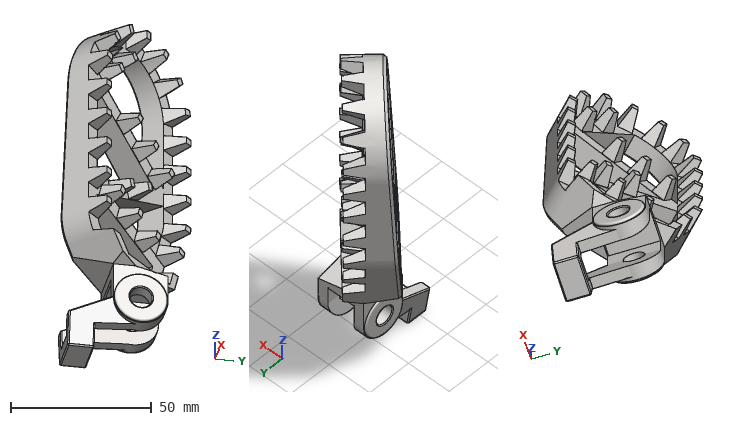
import cadquery as cq
import math


TREAD_TURN = -45.0
TREAD_CENTRE = 0.8
TREAD_TOP = 113.0
TREAD_RADIUS = 27.0
ARCH_HEIGHT = TREAD_TOP - TREAD_RADIUS
TREAD_FLOOR = 18.6
TREAD_BASE = 13.0
LEFT_CORNER = 44.0
LEFT_SLANT = 20.0
RIGHT_CORNER = 25.7
RIGHT_SLANT = 45.0
CORNER_RADIUS = 15.0

WALL = 5.85
TOOTH_ROOT = -1.25
BACK_AT_ARCH = -10.85
BACK_TILT = 3.0
OUTER_CHAMFER = 1.2
WINDOW_CHAMFER = 0.5

BAR_WIDTH = 6.0
BAR_INSET = 5.35
BAR_NODES_RIGHT = (85.8, 42.2)
BAR_NODE_LEFT = 57.4
TOP_BAR_END = (1.6, 106.4)
LOW_BAR_SLOPE = 20.0

TOOTH_HEIGHT = 7.9
TOOTH_TIP = TOOTH_ROOT + TOOTH_HEIGHT
TOOTH_LENGTH = 5.9
TOOTH_TIP_LENGTH = 2.4
TOOTH_TIP_WALL = 3.1
TOOTH_PITCH = 12.0
ARCH_TEETH = 7
RIGHT_SIDE_TEETH = 5
LEFT_SIDE_TEETH = 4
SLANT_TOOTH_HEIGHT = 32.0
BAR_TOOTH_WIDTH = 5.4
BAR_TOOTH_TIP_WIDTH = 3.0
RIDGE_TOP = 22.9
RIDGE_DROP = 1.4

BLOCK_HALF_WIDTH = 11.2
HINGE_RADIUS = 9.95
BOSS_RADIUS = 9.6
BOSS_HEIGHT = 0.9
BOSS_ROUNDING = 0.7
PIN_HOLE = 8.1
PIN_HOLE_CHAMFER = 0.4
CORNER_SLOPE = 20.0
FLARE_X = 21.4
FLARE_Y = 19.6
SLOT_HALF_WIDTH = 6.45
SLOT_TOP = 8.4
SLOT_BOTTOM = -14.4
SLOT_BOTTOM_HALF_WIDTH = 4.5
FORK_TAPER_START = 0.0
FORK_BOTTOM = -20.0
FORK_BOTTOM_HALF_WIDTH = 7.9
FOOT_FRONT = -25.8
FOOT_BACK = -16.2
FOOT_SHOULDER = -7.0
FOOT_HEEL = -10.8
FORK_ROOT = -9.7
EDGE_CHAMFER = 0.5

FAR = 200.0


def sin(angle):
    return math.sin(math.radians(angle))


def cos(angle):
    return math.cos(math.radians(angle))


def tan(angle):
    return math.tan(math.radians(angle))


BACK_NORMAL = cq.Vector(0, -cos(BACK_TILT), sin(BACK_TILT))


def outline(workplane, inset):
    """Closed tread outline moved inwards by inset."""
    half = TREAD_RADIUS - inset
    left = TREAD_CENTRE - half
    right = TREAD_CENTRE + half
    fillet = CORNER_RADIUS - inset
    base = TREAD_FLOOR - WALL + inset
    left_corner = LEFT_CORNER + inset * tan(LEFT_SLANT / 2)
    right_corner = RIGHT_CORNER + inset * tan(RIGHT_SLANT / 2)
    left_run = fillet * tan(LEFT_SLANT / 2)
    right_run = fillet * tan(RIGHT_SLANT / 2)
    return (
        workplane.moveTo(left, ARCH_HEIGHT)
        .threePointArc((TREAD_CENTRE, ARCH_HEIGHT + half), (right, ARCH_HEIGHT))
        .lineTo(right, right_corner + right_run)
        .tangentArcPoint(
            (right - right_run * sin(RIGHT_SLANT), right_corner - right_run * cos(RIGHT_SLANT)),
            relative=False,
        )
        .lineTo(right - (right_corner - base) * tan(RIGHT_SLANT), base)
        .lineTo(left + (left_corner - base) * tan(LEFT_SLANT), base)
        .lineTo(left + left_run * sin(LEFT_SLANT), left_corner - left_run * cos(LEFT_SLANT))
        .tangentArcPoint((left, left_corner + left_run), relative=False)
        .close()
    )


def level(y):
    return cq.Workplane("XZ", origin=(0, y, 0))


def back_face(z):
    return BACK_AT_ARCH - (ARCH_HEIGHT - z) * tan(BACK_TILT)


def tread_slab():
    """Solid tread, flat at the tooth roots and tilted at the back, with the back rim chamfered."""
    block = outline(level(TOOTH_ROOT), 0).extrude(FAR)
    low = TREAD_BASE - 1
    high = TREAD_TOP + 1
    side = (
        cq.Workplane("YZ")
        .polyline([(TOOTH_ROOT, low), (TOOTH_ROOT, high), (back_face(high), high), (back_face(low), low)])
        .close()
        .extrude(FAR, both=True)
    )
    slab = block.intersect(side)
    back = slab.faces(cq.selectors.DirectionMinMaxSelector(BACK_NORMAL, True))
    return back.edges("not <Z").chamfer(OUTER_CHAMFER)


def bars():
    """Start and end of each bar centre line, as (x, z)."""
    right = TREAD_CENTRE + TREAD_RADIUS - BAR_INSET
    left = TREAD_CENTRE - TREAD_RADIUS + BAR_INSET
    upper = (right, BAR_NODES_RIGHT[0])
    middle = (left, BAR_NODE_LEFT)
    lower = (right, BAR_NODES_RIGHT[1])
    low_run = right - left
    low_end = (left, lower[1] - low_run * tan(LOW_BAR_SLOPE))
    return [(upper, TOP_BAR_END), (middle, upper), (lower, middle), (lower, low_end)]


def bar_angle(start, end):
    return math.degrees(math.atan2(end[1] - start[1], end[0] - start[0]))


def bar_solid(start, end):
    length = math.dist(start, end) + 2 * BAR_WIDTH
    middle = ((start[0] + end[0]) / 2, (start[1] + end[1]) / 2)
    return (
        cq.Workplane("XZ")
        .rect(length, BAR_WIDTH)
        .extrude(FAR, both=True)
        .rotate((0, 0, 0), (0, 1, 0), -bar_angle(start, end))
        .translate((middle[0], 0, middle[1]))
    )


def frame():
    """Tread slab opened up into windows between the bars, with the window edges chamfered."""
    opening = outline(level(TOOTH_ROOT + 1), WALL).extrude(FAR)
    for start, end in bars():
        opening = opening.cut(bar_solid(start, end))
    body = tread_slab().cut(opening)
    back = body.faces(cq.selectors.DirectionMinMaxSelector(BACK_NORMAL, True))
    window_edges = [edge for wire in back.val().innerWires() for edge in wire.Edges()]
    return back.newObject(window_edges).chamfer(WINDOW_CHAMFER)


def tooth_rim():
    """Rim as tall as the teeth, flush outside and thinning inside towards the tips."""
    outside = outline(level(TOOTH_ROOT), 0).extrude(-TOOTH_HEIGHT)
    inside = outline(level(TOOTH_ROOT), WALL)
    inside = outline(inside.workplane(offset=-TOOTH_HEIGHT), TOOTH_TIP_WALL).loft(ruled=True)
    return outside.cut(inside)


def tooth_block(x, z, direction):
    """Tapered block crossing the rim at (x, z) along the outward direction in degrees."""
    return (
        cq.Workplane("XY")
        .polyline([
            (-TOOTH_LENGTH / 2, TOOTH_ROOT),
            (TOOTH_LENGTH / 2, TOOTH_ROOT),
            (TOOTH_TIP_LENGTH / 2, TOOTH_TIP),
            (-TOOTH_TIP_LENGTH / 2, TOOTH_TIP),
        ])
        .close()
        .extrude(1.5 * WALL, both=True)
        .rotate((0, 0, 0), (0, 1, 0), 90 - direction)
        .translate((x, 0, z))
    )


def ridge_block():
    """Region of the long tooth that follows the lower end of the rim."""
    return (
        cq.Workplane("YZ")
        .polyline([
            (TOOTH_ROOT, 0),
            (TOOTH_ROOT, RIDGE_TOP),
            (TOOTH_TIP, RIDGE_TOP - RIDGE_DROP),
            (TOOTH_TIP, 0),
        ])
        .close()
        .extrude(FAR, both=True)
    )


def rim_teeth():
    left = TREAD_CENTRE - TREAD_RADIUS
    right = TREAD_CENTRE + TREAD_RADIUS
    blocks = [ridge_block()]
    for index in range(ARCH_TEETH):
        angle = (index + 0.5) * 180 / ARCH_TEETH
        x = TREAD_CENTRE + TREAD_RADIUS * cos(angle)
        z = ARCH_HEIGHT + TREAD_RADIUS * sin(angle)
        blocks.append(tooth_block(x, z, angle))
    for index in range(RIGHT_SIDE_TEETH):
        z = ARCH_HEIGHT - (index + 0.5) * TOOTH_PITCH
        blocks.append(tooth_block(right, z, 0))
        if index < LEFT_SIDE_TEETH:
            blocks.append(tooth_block(left, z, 180))
    slant_x = left + (LEFT_CORNER - SLANT_TOOTH_HEIGHT) * tan(LEFT_SLANT)
    blocks.append(tooth_block(slant_x, SLANT_TOOTH_HEIGHT, 180 + LEFT_SLANT))
    rim = tooth_rim()
    return [rim.intersect(block) for block in blocks]


def bar_tooth(start, end, distance):
    share = distance / math.dist(start, end)
    x = start[0] + (end[0] - start[0]) * share
    z = start[1] + (end[1] - start[1]) * share
    return (
        level(TOOTH_ROOT)
        .rect(TOOTH_LENGTH, BAR_TOOTH_WIDTH)
        .workplane(offset=-TOOTH_HEIGHT)
        .rect(TOOTH_TIP_LENGTH, BAR_TOOTH_TIP_WIDTH)
        .loft(ruled=True)
        .rotate((0, 0, 0), (0, 1, 0), -bar_angle(start, end))
        .translate((x, 0, z))
    )


BAR_TEETH = [(6.3, 2), (8.3, 3), (11.8, 2), (5.4, 3)]


def bar_teeth():
    return [
        bar_tooth(start, end, first + index * TOOTH_PITCH)
        for (start, end), (first, count) in zip(bars(), BAR_TEETH)
        for index in range(count)
    ]


def flare():
    """Pyramid opening upwards from the top of the hinge block; it trims the lower end of the tread."""
    rise = FAR
    width = 2 * BLOCK_HALF_WIDTH
    depth = 2 * HINGE_RADIUS
    return (
        cq.Workplane("XY", origin=(0, 0, TREAD_BASE))
        .rect(width, depth)
        .workplane(offset=rise)
        .rect(width + 2 * rise / tan(FLARE_X), depth + 2 * rise / tan(FLARE_Y))
        .loft(ruled=True)
    )


def tread():
    body = frame()
    for tooth in rim_teeth() + bar_teeth():
        body = body.union(tooth)
    return body.rotate((0, 0, 0), (0, 0, 1), TREAD_TURN).intersect(flare())


def hinge_block():
    """Block rounded about the pin, with a low round boss on each side."""
    block = (
        cq.Workplane("YZ")
        .moveTo(-HINGE_RADIUS, TREAD_BASE)
        .lineTo(-HINGE_RADIUS, 0)
        .threePointArc((0, -HINGE_RADIUS), (HINGE_RADIUS, 0))
        .lineTo(HINGE_RADIUS, TREAD_BASE)
        .close()
        .extrude(BLOCK_HALF_WIDTH, both=True)
    )
    boss = (
        cq.Workplane("YZ", origin=(BLOCK_HALF_WIDTH, 0, 0))
        .circle(BOSS_RADIUS)
        .extrude(BOSS_HEIGHT)
        .faces(">X")
        .fillet(BOSS_ROUNDING)
    )
    return block.union(boss).union(boss.mirror("YZ"))


def corner_slope():
    """Material above the slope that falls from the tooth tips to the far corner of the hinge block."""
    drop = FAR * tan(CORNER_SLOPE)
    return (
        cq.Workplane("YZ", origin=(-FAR, 0, 0))
        .polyline([(TOOTH_TIP, TREAD_BASE), (TOOTH_TIP + FAR, TREAD_BASE), (TOOTH_TIP + FAR, TREAD_BASE - drop)])
        .close()
        .extrude(2 * FAR)
        .rotate((0, 0, 0), (0, 0, 1), TREAD_TURN)
    )


def fork_outline(top, half_width, bottom, bottom_half_width):
    """Straight-sided down to the taper start, then narrowing to the bottom; runs along Y."""
    return (
        cq.Workplane("XZ")
        .polyline([
            (-half_width, top),
            (half_width, top),
            (half_width, FORK_TAPER_START),
            (bottom_half_width, bottom),
            (-bottom_half_width, bottom),
            (-half_width, FORK_TAPER_START),
        ])
        .close()
        .extrude(FAR, both=True)
    )


def fork_arm():
    arm = (
        cq.Workplane("YZ")
        .polyline([
            (0, 0),
            (-HINGE_RADIUS, FORK_TAPER_START),
            (FOOT_FRONT, FOOT_SHOULDER),
            (FOOT_FRONT, FORK_BOTTOM),
            (FOOT_BACK, FORK_BOTTOM),
            (FOOT_BACK, FOOT_HEEL),
            (0, FORK_ROOT),
        ])
        .close()
        .extrude(FAR, both=True)
    )
    taper = fork_outline(TREAD_BASE, BLOCK_HALF_WIDTH, FORK_BOTTOM, FORK_BOTTOM_HALF_WIDTH)
    return arm.intersect(taper)


def pin_hole():
    """Hole for the hinge pin, countersunk at both boss faces."""
    end = BLOCK_HALF_WIDTH + BOSS_HEIGHT
    wide = PIN_HOLE / 2 + PIN_HOLE_CHAMFER
    return (
        cq.Workplane("XY")
        .polyline([
            (-end, 0),
            (-end, wide),
            (-end + PIN_HOLE_CHAMFER, PIN_HOLE / 2),
            (end - PIN_HOLE_CHAMFER, PIN_HOLE / 2),
            (end, wide),
            (end, 0),
        ])
        .close()
        .revolve(360, (0, 0, 0), (1, 0, 0))
    )


def edge_zone(half_width, front, back, bottom, top):
    """Selects the edges centred within half_width of the middle, front to back and bottom to top."""
    margin = 0.1
    return cq.selectors.BoxSelector(
        (-half_width, front - margin, bottom - margin),
        (half_width, back + margin, top + margin),
    )


def hinge():
    slot = fork_outline(SLOT_TOP, SLOT_HALF_WIDTH, SLOT_BOTTOM, SLOT_BOTTOM_HALF_WIDTH)
    foot_edges = edge_zone(FAR, FOOT_FRONT, FOOT_BACK, FORK_BOTTOM, FOOT_HEEL - 1)
    arm_edges = edge_zone(FAR, FOOT_FRONT + 1, FOOT_BACK, FOOT_SHOULDER + 1, 0)
    slot_end = edge_zone(SLOT_HALF_WIDTH, FOOT_FRONT, FOOT_FRONT, SLOT_BOTTOM, FOOT_SHOULDER - 1)
    slot_roof = edge_zone(SLOT_HALF_WIDTH, -HINGE_RADIUS, -HINGE_RADIUS, SLOT_TOP, SLOT_TOP)
    fork = fork_arm().edges(foot_edges + arm_edges).chamfer(EDGE_CHAMFER)
    fork = fork.cut(slot).edges(slot_end).chamfer(EDGE_CHAMFER)
    block = hinge_block().cut(corner_slope()).cut(slot).edges(slot_roof).chamfer(EDGE_CHAMFER)
    return block.union(fork).cut(pin_hole())


result = tread().union(hinge())